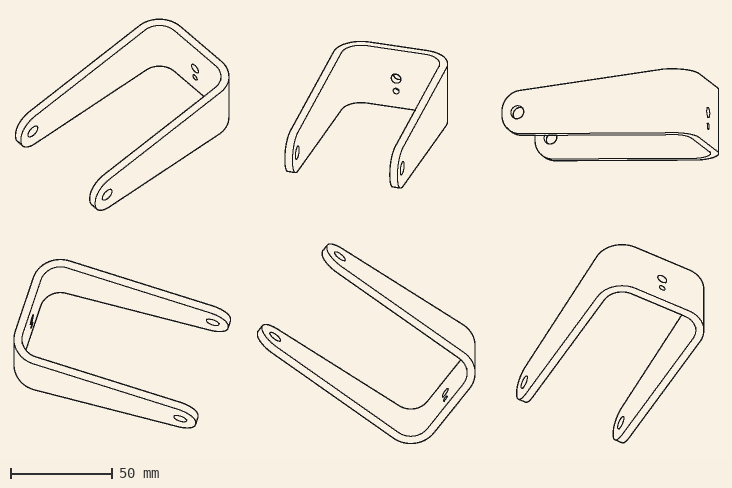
import cadquery as cq

width = 58.0
length = 97.5
height = 32.5
thickness = 4.0

outer_bend_radius = 14.0
inner_bend_radius = outer_bend_radius - thickness

tip_height = 20.7
tip_corner_radius = 10.0
pivot_diameter = 6.5
pivot_from_tip = 8.0

main_hole_diameter = 5.0
small_hole_diameter = 3.0
small_hole_drop = 7.0

back_y = length / 2
tip_y = -length / 2
taper_start_y = back_y - outer_bend_radius


def bent_strip():
    """Full-height U strip, open toward -Y."""
    inner_width = width - 2 * thickness
    outer = (
        cq.Workplane("XY")
        .box(width, length, height)
        .edges("|Z and >Y")
        .fillet(outer_bend_radius)
    )
    inner = (
        cq.Workplane("XY")
        .box(inner_width, length, height)
        .edges("|Z and >Y")
        .fillet(inner_bend_radius)
        .translate((0, -thickness, 0))
    )
    return outer.cut(inner)


def side_profile():
    """Tapered side silhouette with rounded tip, extruded across the width."""
    upper_tip = (tip_y, tip_height / 2)
    lower_tip = (tip_y, -tip_height / 2)
    return (
        cq.Workplane("YZ")
        .moveTo(back_y, -height / 2)
        .lineTo(back_y, height / 2)
        .lineTo(taper_start_y, height / 2)
        .lineTo(*upper_tip)
        .lineTo(*lower_tip)
        .lineTo(taper_start_y, -height / 2)
        .close()
        .extrude(width / 2, both=True)
        .edges("|X and <Y")
        .fillet(tip_corner_radius)
    )


def pivot_holes():
    """Cutter through both arms near their tips."""
    return (
        cq.Workplane("YZ")
        .center(tip_y + pivot_from_tip, 0)
        .circle(pivot_diameter / 2)
        .extrude(width, both=True)
    )


def back_hole(diameter, z):
    """Cutter through the back plate at height z."""
    return (
        cq.Workplane("XZ", origin=(0, back_y, 0))
        .center(0, z)
        .circle(diameter / 2)
        .extrude(thickness)
    )


result = (
    bent_strip()
    .intersect(side_profile())
    .cut(pivot_holes())
    .cut(back_hole(main_hole_diameter, 0))
    .cut(back_hole(small_hole_diameter, -small_hole_drop))
)